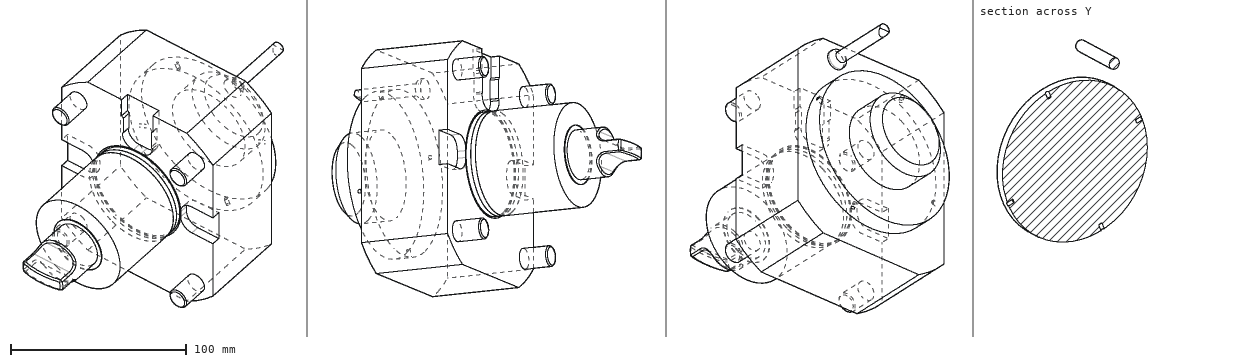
import cadquery as cq
import math


HOUSING_WIDTH = 108.0
HOUSING_HEIGHT = 130.0
HOUSING_DEPTH = 55.0
HOUSING_CORNER_RADIUS = 74.0

FLANGE_DIAMETER = 96.0
FLANGE_THICKNESS = 12.0
HUB_DIAMETER = 52.0
HUB_LENGTH = 23.5
HUB_CHAMFER = 5.0

RIM_HOLE_DIAMETER = 2.1
RIM_HOLE_DEPTH = 4.0
RIM_HOLE_COUNT = 4
RIM_HOLE_FIRST_ANGLE = -22.5

SLEEVE_DIAMETER = 60.0
SLEEVE_LENGTH = 55.5
RELIEF_DIAMETER = 59.8
RELIEF_START = 2.5
RELIEF_END = 5.5
COLLAR_DIAMETER = 34.0
COLLAR_THICKNESS = 0.5

CLEARANCE_DIAMETER = 61.8
CLEARANCE_DEPTH = 0.4

SHAFT_DIAMETER = 28.5
TIP_POSITION = 91.3
BLADE_THICKNESS = 7.5
BLADE_ROOT_RADIUS = 6.25
SHOULDER_POSITION = 73.9
BLADE_TIP_RADIUS = 50.0
BLADE_BEVEL_WIDTH = 1.3
BLADE_BEVEL_DROP = 0.7

PIN_DIAMETER = 12.0
PIN_LENGTH = 17.5
PIN_CHAMFER = 0.8
PIN_SPACING_X = 84.0
PIN_SPACING_Z = 94.0

POCKET_DEPTH = 5.5
POCKET_CORNER_RADIUS = 8.0
POCKET_INNER_RADIUS = 31.0
SIDE_POCKET_WIDTH = 20.0
TOP_POCKET_MOUTH_WIDTH = 22.3
TOP_POCKET_WAIST_WIDTH = 20.0
TOP_POCKET_END_WIDTH = 21.4
MOUTH_END_Z = 52.6
WAIST_UPPER_Z = 51.2
WAIST_LOWER_Z = 40.1

CABLE_DIAMETER = 7.0
CABLE_X = 26.0
CABLE_Z = 54.0
CABLE_END_Y = 98.4
CABLE_CUT = 3.1
GLAND_DIAMETER = 12.0
GLAND_HEIGHT = 4.5
GLAND_ROUND_DIAMETER = 6.37


def y_cylinder(diameter, start, end, x=0.0, z=0.0):
    """Cylinder parallel to Y between two Y positions."""
    base = cq.Workplane("XZ", origin=(x, start, z))
    return base.circle(diameter / 2).extrude(start - end)


def housing():
    block = cq.Workplane("XZ").rect(HOUSING_WIDTH, HOUSING_HEIGHT).extrude(-HOUSING_DEPTH)
    return block.intersect(y_cylinder(2 * HOUSING_CORNER_RADIUS, 0, HOUSING_DEPTH))


def side_pocket(side):
    """Round-cornered pocket open at the left (-1) or right (+1) housing wall."""
    length = HOUSING_WIDTH / 2 - POCKET_INNER_RADIUS
    middle = side * (POCKET_INNER_RADIUS + length / 2)
    pocket = cq.Workplane("XY").box(length, POCKET_DEPTH, SIDE_POCKET_WIDTH)
    inner_edges = "|Y and <X" if side > 0 else "|Y and >X"
    pocket = pocket.edges(inner_edges).fillet(POCKET_CORNER_RADIUS)
    return pocket.translate((middle, POCKET_DEPTH / 2, 0))


def top_pocket():
    """Waisted pocket open at the top wall, with a rounded inner end."""
    mouth = TOP_POCKET_MOUTH_WIDTH / 2
    waist = TOP_POCKET_WAIST_WIDTH / 2
    end = TOP_POCKET_END_WIDTH / 2
    radius = POCKET_CORNER_RADIUS
    corner_z = POCKET_INNER_RADIUS + radius
    corner_x = end - radius
    arc_offset = radius * math.sqrt(0.5)
    arc_z = corner_z - arc_offset
    arc_x = corner_x + arc_offset
    return (
        cq.Workplane("XZ")
        .moveTo(-mouth, HOUSING_HEIGHT / 2)
        .lineTo(-mouth, MOUTH_END_Z)
        .lineTo(-waist, WAIST_UPPER_Z)
        .lineTo(-waist, WAIST_LOWER_Z)
        .lineTo(-end, corner_z)
        .threePointArc((-arc_x, arc_z), (-corner_x, POCKET_INNER_RADIUS))
        .lineTo(corner_x, POCKET_INNER_RADIUS)
        .threePointArc((arc_x, arc_z), (end, corner_z))
        .lineTo(waist, WAIST_LOWER_Z)
        .lineTo(waist, WAIST_UPPER_Z)
        .lineTo(mouth, MOUTH_END_Z)
        .lineTo(mouth, HOUSING_HEIGHT / 2)
        .close()
        .extrude(-POCKET_DEPTH)
    )


def rear_flange_and_hub():
    flange_back = HOUSING_DEPTH + FLANGE_THICKNESS
    flange = y_cylinder(FLANGE_DIAMETER, HOUSING_DEPTH, flange_back)
    hub = y_cylinder(HUB_DIAMETER, flange_back, flange_back + HUB_LENGTH)
    hub = hub.faces(">Y").chamfer(HUB_CHAMFER)
    hole_y = HOUSING_DEPTH + FLANGE_THICKNESS / 2
    hole = (
        cq.Workplane("XY", origin=(0, hole_y, FLANGE_DIAMETER / 2 - RIM_HOLE_DEPTH))
        .circle(RIM_HOLE_DIAMETER / 2)
        .extrude(2 * RIM_HOLE_DEPTH)
    )
    for index in range(RIM_HOLE_COUNT):
        angle = RIM_HOLE_FIRST_ANGLE + index * 360 / RIM_HOLE_COUNT
        flange = flange.cut(hole.rotate((0, 0, 0), (0, 1, 0), angle))
    return flange.union(hub)


def sleeve():
    body = y_cylinder(SLEEVE_DIAMETER, CLEARANCE_DEPTH, -SLEEVE_LENGTH)
    relief = y_cylinder(SLEEVE_DIAMETER, -RELIEF_START, -RELIEF_END)
    relief = relief.cut(y_cylinder(RELIEF_DIAMETER, -RELIEF_START, -RELIEF_END))
    collar = y_cylinder(COLLAR_DIAMETER, -SLEEVE_LENGTH, -SLEEVE_LENGTH - COLLAR_THICKNESS)
    return body.cut(relief).union(collar)


def blade_side_cut(side):
    """Material removed above (+1) or below (-1) the blade, with a rounded root."""
    flat = side * BLADE_THICKNESS / 2
    arc_center_z = side * (BLADE_THICKNESS / 2 + BLADE_ROOT_RADIUS)
    arc_center_y = -SHOULDER_POSITION - BLADE_ROOT_RADIUS
    arc_offset = BLADE_ROOT_RADIUS * math.sqrt(0.5)
    return (
        cq.Workplane("YZ")
        .moveTo(-SHOULDER_POSITION, side * SHAFT_DIAMETER)
        .lineTo(-SHOULDER_POSITION, arc_center_z)
        .threePointArc(
            (arc_center_y + arc_offset, arc_center_z - side * arc_offset),
            (arc_center_y, flat),
        )
        .lineTo(-TIP_POSITION - SHAFT_DIAMETER, flat)
        .lineTo(-TIP_POSITION - SHAFT_DIAMETER, side * SHAFT_DIAMETER)
        .close()
        .extrude(SHAFT_DIAMETER, both=True)
    )


def shaft():
    body = y_cylinder(SHAFT_DIAMETER, -SLEEVE_LENGTH, -TIP_POSITION)
    tip_center_y = BLADE_TIP_RADIUS - TIP_POSITION
    tip_round = (
        cq.Workplane("XY", origin=(0, tip_center_y, -SHAFT_DIAMETER))
        .circle(BLADE_TIP_RADIUS)
        .extrude(2 * SHAFT_DIAMETER)
    )
    body = body.intersect(tip_round)
    for side in (-1, 1):
        body = body.cut(blade_side_cut(side))
    blade_start = -(SLEEVE_LENGTH + SHOULDER_POSITION) / 2
    blade_zone = cq.selectors.BoxSelector(
        (-SHAFT_DIAMETER, blade_start, -SHAFT_DIAMETER),
        (SHAFT_DIAMETER, -2 * TIP_POSITION, SHAFT_DIAMETER),
    )
    return body.edges(blade_zone).edges("not |X").chamfer(BLADE_BEVEL_DROP, BLADE_BEVEL_WIDTH)


def front_pins():
    pin = y_cylinder(PIN_DIAMETER, 0, -PIN_LENGTH).faces("<Y").chamfer(PIN_CHAMFER)
    pins = cq.Workplane("XY")
    for x in (-PIN_SPACING_X / 2, PIN_SPACING_X / 2):
        for z in (-PIN_SPACING_Z / 2, PIN_SPACING_Z / 2):
            pins = pins.union(pin.translate((x, 0, z)))
    return pins


def cable_and_gland():
    cable = y_cylinder(CABLE_DIAMETER, HOUSING_DEPTH, CABLE_END_Y, CABLE_X, CABLE_Z)
    cable_bottom = CABLE_Z - CABLE_DIAMETER / 2
    bevel = (
        cq.Workplane("YZ", origin=(CABLE_X, 0, 0))
        .moveTo(CABLE_END_Y, cable_bottom)
        .lineTo(CABLE_END_Y - CABLE_CUT, cable_bottom)
        .lineTo(CABLE_END_Y, cable_bottom + CABLE_CUT)
        .close()
        .extrude(CABLE_DIAMETER, both=True)
    )
    gland = y_cylinder(GLAND_DIAMETER, HOUSING_DEPTH, HOUSING_DEPTH + GLAND_HEIGHT, CABLE_X, CABLE_Z)
    gland = gland.faces(">Y").edges().fillet(GLAND_ROUND_DIAMETER / 2)
    return cable.cut(bevel).union(gland)


body = housing()
for side in (-1, 1):
    body = body.cut(side_pocket(side))
body = body.cut(top_pocket())
body = body.cut(y_cylinder(CLEARANCE_DIAMETER, 0, CLEARANCE_DEPTH))

result = (
    body.union(rear_flange_and_hub())
    .union(sleeve())
    .union(shaft())
    .union(front_pins())
    .union(cable_and_gland())
)